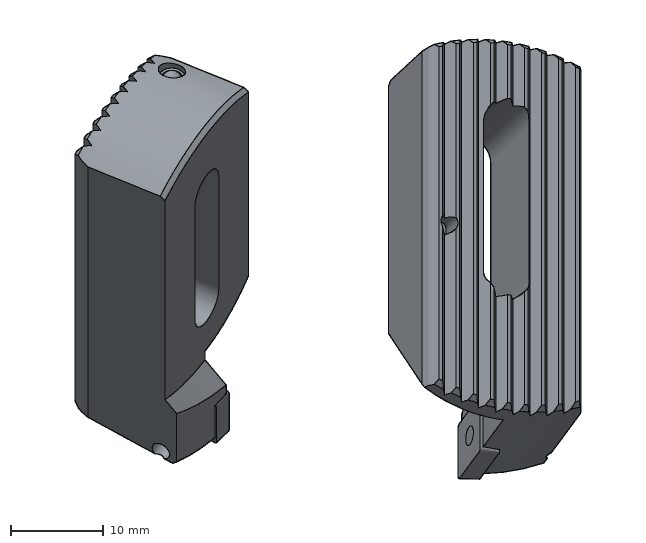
import cadquery as cq
import math

TOTAL_HEIGHT = 46.0
HALF_WIDTH = 9.3
BACK_X = 11.78
END_RADIUS = 23.0
BOTTOM_Z = 3.0
BOTTOM_SLOPE = -math.tan(math.radians(10))
TIP_CHAMFER = 0.6
BACK_CHAMFER_DEPTH = 0.6
BACK_CHAMFER_DROP = 0.4

TOOTH_COUNT = 9
TOOTH_SPAN = 16.0
TOOTH_PITCH = TOOTH_SPAN / (TOOTH_COUNT - 1)
TIP_WIDTH = 0.4
FLANK_TANGENT = math.tan(math.radians(30))
FLANK_END_X = 1.25
SIDE_START_X = 2.2

SLOT_WIDTH = 5.35
SLOT_BOTTOM = 16.1
SLOT_TOP = 39.1

CHANNEL_X = 3.55
CHANNEL_Y = 7.0
CHANNEL_DIAMETER = 2.0
INLET_Z = 23.55
BALL_DIAMETER = 2.3
COUNTERBORE_DIAMETER = 2.95
COUNTERBORE_FLOOR = 43.7
BALL_CENTRE_Z = 43.25

INSERT_RIGHT = 14.6
INSERT_SIDE = 6.45
INSERT_THICKNESS = 2.4
INSERT_LEAN = math.radians(10)
NOSE_RADIUS = 0.4
INSERT_RELIEF_ANGLE = 7.0

LOBE_FACE_Y = -0.35
LOBE_RIGHT = 14.4
LOBE_RELIEF_ANGLE = 7.5
SHOULDER_Z = 10.3
LOBE_CORNER_CHAMFER = 0.5
POCKET_START_X = 2.6
POCKET_RADIUS = END_RADIUS * math.cos(math.radians(45))

SCREW_X = 11.25
SCREW_Z = 3.9
SCREW_DIAMETER = 2.15
SCREW_LENGTH = 6.9
SCREW_CHAMFER = 0.28

PRISM_HEIGHT = 46.0
CLEARANCE = 4.6
OVERLAP = 0.45
CROWN_REACH = HALF_WIDTH + OVERLAP


def plan_outline():
    """Corners of the toothed block, seen along Z."""
    half_tip = TIP_WIDTH / 2
    groove_depth = (TOOTH_PITCH / 2 - half_tip) / FLANK_TANGENT
    first_tooth_y = -TOOTH_SPAN / 2
    flank_end_y = TOOTH_SPAN / 2 + half_tip + FLANK_END_X * FLANK_TANGENT

    points = [(BACK_X, -HALF_WIDTH), (SIDE_START_X, -HALF_WIDTH), (FLANK_END_X, -flank_end_y)]
    for tooth in range(TOOTH_COUNT):
        centre_y = first_tooth_y + tooth * TOOTH_PITCH
        points.append((0, centre_y - half_tip))
        points.append((0, centre_y + half_tip))
        if tooth < TOOTH_COUNT - 1:
            points.append((groove_depth, centre_y + TOOTH_PITCH / 2))
    points += [(FLANK_END_X, flank_end_y), (SIDE_START_X, HALF_WIDTH), (BACK_X, HALF_WIDTH)]
    return points


def crown_prism(x, z, slope, crown, material, radius=END_RADIUS, y_min=-CROWN_REACH):
    """Solid bounded by a crown arc that is swept along X and rises by slope.

    The middle of the arc passes through (x, z). crown is +1 where the middle is the highest
    point and -1 where it is the lowest; material is +1 above the arc and -1 below it.
    """
    start_x = -OVERLAP
    end_x = LOBE_RIGHT + OVERLAP
    y_max = CROWN_REACH
    middle_z = z + slope * (start_x - x)
    far_z = middle_z + material * PRISM_HEIGHT

    def arc_point(y):
        return (y, middle_z - crown * (radius - math.sqrt(radius**2 - y**2)))

    profile = (
        cq.Workplane("YZ", origin=(start_x, 0, 0))
        .moveTo(*arc_point(y_min))
        .threePointArc(arc_point((y_min + y_max) / 2), arc_point(y_max))
        .lineTo(y_max, far_z)
        .lineTo(y_min, far_z)
        .close()
        .wires()
        .val()
    )
    length = end_x - start_x
    return cq.Workplane(cq.Solid.extrudeLinear(profile, [], cq.Vector(length, 0, slope * length)))


def above_upper_end(x, z, slope):
    return crown_prism(x, z, slope, crown=1, material=1)


def below_lower_end(x, z, slope):
    return crown_prism(x, z, slope, crown=-1, material=-1)


def lobe():
    """Foot behind the insert: its right side leans back, its shoulder follows the lower end's crown."""
    width = HALF_WIDTH + LOBE_FACE_Y
    front_right = LOBE_RIGHT - width * math.tan(math.radians(LOBE_RELIEF_ANGLE))
    root_x = BACK_X - CLEARANCE
    foot = (
        cq.Workplane("XY", origin=(0, 0, -CLEARANCE))
        .moveTo(root_x, -HALF_WIDTH)
        .lineTo(front_right, -HALF_WIDTH)
        .lineTo(LOBE_RIGHT, LOBE_FACE_Y)
        .lineTo(root_x, LOBE_FACE_Y)
        .close()
        .extrude(TOTAL_HEIGHT / 2)
    )
    return foot.cut(crown_prism(BACK_X, SHOULDER_Z, slope=-1, crown=-1, material=1))


def shaped_block():
    """Toothed block and lobe between their crowned ends, with the chip pocket."""
    block = cq.Workplane("XY", origin=(0, 0, -CLEARANCE)).polyline(plan_outline()).close()
    block = block.extrude(TOTAL_HEIGHT + CLEARANCE).union(lobe())

    back_slope = -BACK_CHAMFER_DROP / BACK_CHAMFER_DEPTH
    tip_bottom_z = BOTTOM_Z + BOTTOM_SLOPE * TIP_CHAMFER
    block = block.cut(above_upper_end(0, TOTAL_HEIGHT, 0))
    block = block.cut(above_upper_end(TIP_CHAMFER, TOTAL_HEIGHT, 1))
    block = block.cut(above_upper_end(BACK_X - BACK_CHAMFER_DEPTH, TOTAL_HEIGHT, back_slope))
    block = block.cut(below_lower_end(0, BOTTOM_Z, BOTTOM_SLOPE))
    block = block.cut(below_lower_end(TIP_CHAMFER, tip_bottom_z, -1))

    corner_y = -HALF_WIDTH / 2
    corner_x = LOBE_RIGHT + corner_y * math.tan(math.radians(LOBE_RELIEF_ANGLE))
    corner_rise = END_RADIUS - math.sqrt(END_RADIUS**2 - corner_y**2)
    corner_z = BOTTOM_Z + BOTTOM_SLOPE * corner_x + corner_rise
    lobe_corner = cq.selectors.NearestToPointSelector((corner_x, corner_y, corner_z))
    block = block.edges(lobe_corner).chamfer(LOBE_CORNER_CHAMFER)

    pocket_z = BOTTOM_Z + BOTTOM_SLOPE * POCKET_START_X
    pocket = crown_prism(
        POCKET_START_X, pocket_z, slope=1, crown=-1, material=-1, radius=POCKET_RADIUS, y_min=LOBE_FACE_Y
    )
    return block.cut(pocket)


def clamping_slot():
    return (
        cq.Workplane("YZ")
        .center(0, (SLOT_BOTTOM + SLOT_TOP) / 2)
        .slot2D(SLOT_TOP - SLOT_BOTTOM, SLOT_WIDTH, 90)
        .extrude(BACK_X)
    )


def vertical_bore(diameter, bottom, top):
    base = cq.Workplane("XY", origin=(CHANNEL_X, CHANNEL_Y, bottom))
    return base.circle(diameter / 2).extrude(top - bottom)


def coolant_channel():
    """Inlet among the teeth, joined to a drilling from the top with a stepped mouth."""
    inlet = cq.Workplane("YZ").center(CHANNEL_Y, INLET_Z).circle(CHANNEL_DIAMETER / 2).extrude(CHANNEL_X)
    drilling = vertical_bore(CHANNEL_DIAMETER, INLET_Z - CHANNEL_DIAMETER, BALL_CENTRE_Z)
    ball_seat = vertical_bore(BALL_DIAMETER, BALL_CENTRE_Z - BALL_DIAMETER / 2, COUNTERBORE_FLOOR)
    mouth = vertical_bore(COUNTERBORE_DIAMETER, COUNTERBORE_FLOOR, TOTAL_HEIGHT)
    return inlet.union(drilling).union(ball_seat).union(mouth)


def screw_bore(length):
    return cq.Workplane("XZ").center(SCREW_X, SCREW_Z).circle(SCREW_DIAMETER / 2).extrude(length)


def insert_blank():
    """Rhombic insert without its hole, its nose just touching Z = 0."""
    lean_x = INSERT_SIDE * math.cos(INSERT_LEAN)
    lean_z = INSERT_SIDE * math.sin(INSERT_LEAN)
    corner_z = NOSE_RADIUS * (1 - (1 + math.sin(INSERT_LEAN)) / math.cos(INSERT_LEAN))
    corners = [
        (INSERT_RIGHT, corner_z),
        (INSERT_RIGHT, corner_z + INSERT_SIDE),
        (INSERT_RIGHT - lean_x, corner_z + INSERT_SIDE + lean_z),
        (INSERT_RIGHT - lean_x, corner_z + lean_z),
    ]
    rhombus = cq.Sketch().polygon([*corners, corners[0]]).vertices().fillet(NOSE_RADIUS)
    return cq.Workplane("XZ").placeSketch(rhombus).extrude(INSERT_THICKNESS, taper=INSERT_RELIEF_ANGLE)


def make_housing():
    housing = shaped_block().cut(clamping_slot()).cut(coolant_channel())
    return housing.cut(insert_blank()).cut(screw_bore(HALF_WIDTH))


def make_insert():
    return insert_blank().cut(screw_bore(INSERT_THICKNESS))


def make_screw():
    return screw_bore(SCREW_LENGTH).faces("<Y").chamfer(SCREW_CHAMFER)


def make_ball():
    return cq.Workplane("XY", origin=(CHANNEL_X, CHANNEL_Y, BALL_CENTRE_Z)).sphere(BALL_DIAMETER / 2)


housing = make_housing()
insert = make_insert()
screw = make_screw()
ball = make_ball()

bodies = [housing, insert, screw, ball]
result = cq.Compound.makeCompound([body.solids().val() for body in bodies])